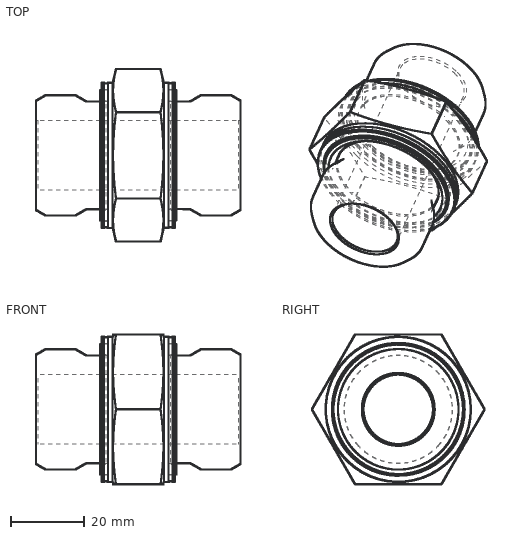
import cadquery as cq
import math

length = 56.0
half_length = length / 2

hex_flats = 41.0
hex_half_width = 7.0
hex_sharp_radius = hex_flats / 2 / math.cos(math.radians(30))
hex_corner_radius = 47.25 / 2
hex_corner_half_width = 6.1

collar_radius = 39.8 / 2
collar_end = 10.0
collar_chamfer = 0.1
groove_inner = 8.3
groove_outer = 9.4
groove_depth = 0.195

thread_radius = 33.0 / 2
neck_radius = 29.5 / 2
thread_cone_angle = 30.0
lead_in_length = 2.65
thread_back = 17.2
crest_fillet = 0.5
face_fillet = 0.2
neck_fillet = 1.35

bore_radius = 19.0 / 2
bore_chamfer = 0.5

ring_face = 10.5
ring_radius = 35.7 / 2
ring_bore_radius = 29.7 / 2
ring_bore_chamfer = 1.7
ring_chamfer = 0.15
recess_radius = 36.05 / 2
recess_chamfer = 0.15
recess_floor = groove_inner

cone_slope = math.tan(math.radians(thread_cone_angle))
thread_front = half_length - lead_in_length
end_face_radius = thread_radius - lead_in_length * cone_slope
neck_start = thread_back - (thread_radius - neck_radius) / cone_slope

SIDES = (1, -1)


def revolve_about_x(profile):
    return profile.close().revolve(360, (0, 0, 0), (1, 0, 0))


def fillet_circle(body, x, radius):
    """Round the circular edges centred on the axis at position x."""
    near = 0.03
    selector = cq.selectors.BoxSelector((x - near, -near, -near), (x + near, near, near))
    return body.edges(selector).fillet(radius)


def on_side(body, side):
    """Turn a +X body half a turn about Z for the -X side."""
    return body if side > 0 else body.rotate((0, 0, 0), (0, 0, 1), 180)


def make_hexagon():
    """Hexagon with flats facing up and down, its corners turned down and cut back by cones."""
    prism = (
        cq.Workplane("YZ")
        .polygon(6, 2 * hex_sharp_radius)
        .extrude(hex_half_width, both=True)
    )
    envelope = revolve_about_x(
        cq.Workplane("XY")
        .moveTo(-hex_half_width, 0)
        .lineTo(-hex_half_width, collar_radius)
        .lineTo(-hex_corner_half_width, hex_corner_radius)
        .lineTo(hex_corner_half_width, hex_corner_radius)
        .lineTo(hex_half_width, collar_radius)
        .lineTo(hex_half_width, 0)
    )
    return prism.intersect(envelope)


def make_end():
    """Collar, recess, neck and thread of the +X end, without the bore."""
    groove_middle = (groove_inner + groove_outer) / 2
    end = revolve_about_x(
        cq.Workplane("XY")
        .lineTo(0, collar_radius)
        .lineTo(groove_inner, collar_radius)
        .threePointArc((groove_middle, collar_radius - groove_depth), (groove_outer, collar_radius))
        .lineTo(collar_end - collar_chamfer, collar_radius)
        .lineTo(collar_end, collar_radius - collar_chamfer)
        .lineTo(collar_end, recess_radius + recess_chamfer)
        .lineTo(collar_end - recess_chamfer, recess_radius)
        .lineTo(recess_floor, recess_radius)
        .lineTo(recess_floor, neck_radius)
        .lineTo(neck_start, neck_radius)
        .lineTo(thread_back, thread_radius)
        .lineTo(thread_front, thread_radius)
        .lineTo(half_length, end_face_radius)
        .lineTo(half_length, 0)
    )
    end = fillet_circle(end, neck_start, neck_fillet)
    end = fillet_circle(end, thread_back, crest_fillet)
    end = fillet_circle(end, thread_front, crest_fillet)
    return fillet_circle(end, half_length, face_fillet)


def make_bore():
    """Through bore with a chamfered mouth at each end."""
    mouth_radius = bore_radius + bore_chamfer
    return revolve_about_x(
        cq.Workplane("XY")
        .moveTo(-half_length, 0)
        .lineTo(-half_length, mouth_radius)
        .lineTo(-half_length + bore_chamfer, bore_radius)
        .lineTo(half_length - bore_chamfer, bore_radius)
        .lineTo(half_length, mouth_radius)
        .lineTo(half_length, 0)
    )


def make_fitting():
    fitting = make_hexagon()
    for side in SIDES:
        fitting = fitting.union(on_side(make_end(), side))
    return fitting.cut(make_bore())


def make_seal_ring(side):
    """Ring seated on the recess floor and standing proud of the collar."""
    ring = revolve_about_x(
        cq.Workplane("XY")
        .moveTo(recess_floor, ring_bore_radius)
        .lineTo(recess_floor, ring_radius)
        .lineTo(ring_face - ring_chamfer, ring_radius)
        .lineTo(ring_face, ring_radius - ring_chamfer)
        .lineTo(ring_face, ring_bore_radius + ring_bore_chamfer)
        .lineTo(ring_face - ring_bore_chamfer, ring_bore_radius)
    )
    return on_side(ring, side)


fitting = make_fitting()
seal_rings = [make_seal_ring(side) for side in SIDES]

result = cq.Compound.makeCompound([fitting.val(), *[ring.val() for ring in seal_rings]])